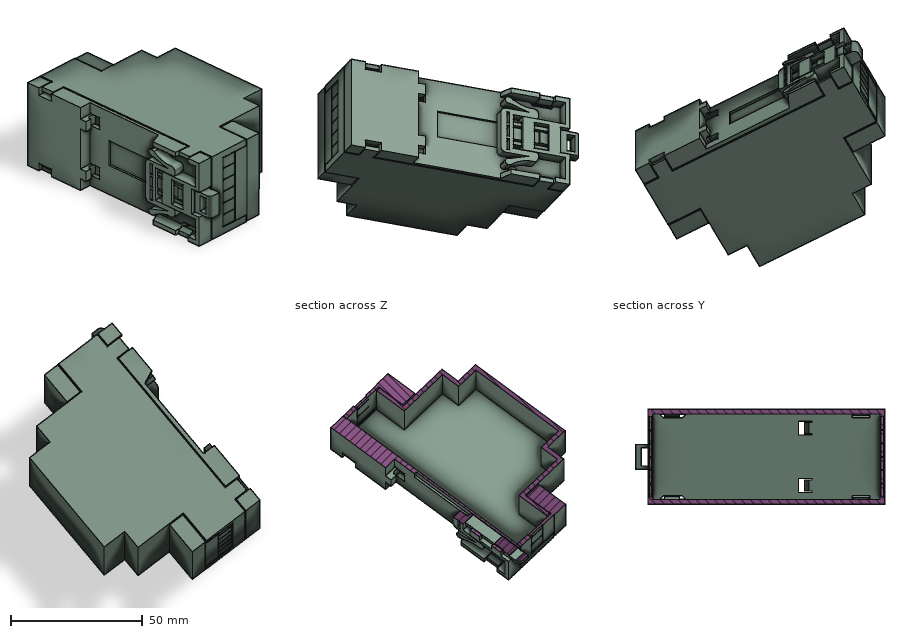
import cadquery as cq


overall_length = 95.0
housing_length = 90.2
housing_height = 58.0
housing_width = 36.3
side = housing_width / 2
mid_x = housing_length / 2
wall = 1.9

base_top = 6.8
seam_gap = 0.4
cover_bottom = base_top + seam_gap

shoulder_y = 26.0
step_y = 48.1
mid_block_x = 14.15
top_block_x = 22.3

notch_start = 5.9
notch_length = 6.6
notch_depth = 3.2
tab_clearance = 0.4
tab_tip_y = 1.4
tab_thickness = 1.7
left_barb_depth = 0.9
right_barb_depth = 1.3
barb_height = 1.9

window_bottom = 13.2
window_half_width = 15.2
guard_top = 33.0
guard_inset = 0.3
guard_wall_gap = 0.4
foot_height = 0.5
foot_inset = 0.7
plate_thickness = 1.5
finger_top = 20.1
plate_recess = 0.2
finger_recess = 0.5
finger_count = 6
slit_width = 0.2
tip_bevel_width = 0.52
tip_bevel_height = 1.5

rail_floor = 5.2
fixed_jaw_x = 27.8
side_wall = 2.0
ramp_foot_x = 63.7
ramp_tip_x = 66.0
floor_opening_x = 75.9
floor_opening_length = 9.8

hook_z = 10.9
hook_width = 4.4
hook_length = 2.85
hook_neck = 1.0
hook_height = 2.85
hook_round = 2.0 / 2
hook_opening_length = 5.0
hook_opening_width = 5.2

groove_x = 37.8
groove_half_width = 5.4
groove_floor = 6.2
bridge_x = 70.8
bridge_half_width = 7.0
bridge_thickness = 1.4
bridge_window_x = 75.6
bridge_window_length = 6.1
bridge_notch_x = 86.3

frame_x = 61.8
frame_half_width = 9.3
frame_front = 0.2
frame_back = 4.3
frame_end_round = 0.9
frame_corner = 4.2 / 2
frame_opening_x = 67.0
frame_opening_half_width = 7.1
frame_end_x = 77.3
frame_slot_x = 64.3
frame_slot_width = 1.1
frame_slot_length = 4.7
frame_slot_pitch = 5.6
stem_x = 65.8
stem_half_width = 4.75
stem_front = 1.5
stem_back = 6.1
stem_slit_inner = 2.4
stem_slit_width = 0.95
catch_x = 78.2
catch_flat = 0.5
catch_front = 0.9
grip_x = 86.6
grip_front = 1.1
grip_round = 4.2 / 2
grip_hole_x = 89.6
grip_hole_length = 3.2
grip_hole_width = 6.8

arm_back = 4.9
arm_overlap = 1.1
arm_tip_x = 65.0
arm_tip_z = 13.0
arm_tip_radius = 1.3
arm_inner_bend_x = 66.4
arm_inner_bend_z = 11.4
arm_neck_x = 66.3
arm_neck_z = 14.0
arm_outer_mid_x = 69.4
arm_outer_mid_z = 12.2
arm_root_x = 73.3
arm_shoulder_z = 11.1
arm_corner = 1.9
pin_x = 68.2
pin_z = 14.1
pin_diameter = 2.0
pin_length = 2.9
pin_front = 3.8


def block(x0, x1, y0, y1, z0, z1):
    return cq.Workplane("XY").box(x1 - x0, y1 - y0, z1 - z0, centered=False).translate((x0, y0, z0))


def centred_block(x0, x1, y0, y1, half_width):
    return block(x0, x1, y0, y1, -half_width, half_width)


def plan_sketch(y):
    """Workplane in X and Z at the given Y; extruding by a negative length goes towards +Y."""
    return cq.Workplane("XZ", origin=(0, y, 0))


def both_sides(body):
    """Body plus its mirror image across the mid-plane Z = 0."""
    return body.union(body.mirror("XY"))


def both_ends(body):
    """Body plus its mirror image across the middle of the housing length."""
    return body.union(mirror_end(body))


def mirror_end(body):
    return body.mirror("YZ", (mid_x, 0, 0))


def stepped_block(inset, bottom):
    """Three-step housing silhouette, shrunk by the inset on every side but the bottom."""
    profile = [
        (inset, bottom),
        (inset, shoulder_y - inset),
        (mid_block_x + inset, shoulder_y - inset),
        (mid_block_x + inset, step_y - inset),
        (top_block_x + inset, step_y - inset),
        (top_block_x + inset, housing_height - inset),
    ]
    mirrored = [(housing_length - x, y) for x, y in reversed(profile)]
    half_width = side - inset
    outline = cq.Workplane("XY", origin=(0, 0, -half_width)).polyline(profile + mirrored).close()
    return outline.extrude(2 * half_width)


def snap_tab(barb_depth):
    inner_z = side - tab_thickness
    profile = [
        (cover_bottom, side),
        (tab_tip_y, side),
        (tab_tip_y, inner_z),
        (tab_tip_y + barb_height, inner_z - barb_depth),
        (tab_tip_y + 2 * barb_height, inner_z),
        (cover_bottom, inner_z),
    ]
    start = notch_start + tab_clearance
    outline = cq.Workplane("YZ", origin=(start, 0, 0)).polyline(profile).close()
    return outline.extrude(notch_length - 2 * tab_clearance)


def make_cover():
    shell = stepped_block(0, cover_bottom).cut(stepped_block(wall, cover_bottom))
    windows = both_ends(centred_block(0, wall, window_bottom, shoulder_y, window_half_width))
    left_tabs = both_sides(snap_tab(left_barb_depth))
    right_tabs = mirror_end(both_sides(snap_tab(right_barb_depth)))
    return shell.cut(windows).union(left_tabs).union(right_tabs)


def finger_gap(z):
    """Narrow slit between two fingers, flared at the finger tips."""
    flare_top = window_bottom + tip_bevel_height
    half_slit = slit_width / 2
    half_flare = half_slit + tip_bevel_width
    profile = [
        (window_bottom, z - half_flare),
        (flare_top, z - half_slit),
        (finger_top, z - half_slit),
        (finger_top, z + half_slit),
        (flare_top, z + half_slit),
        (window_bottom, z + half_flare),
    ]
    return cq.Workplane("YZ").polyline(profile).close().extrude(plate_thickness)


def make_terminal_guard():
    strip_bottom = shoulder_y + foot_height
    strip_end = mid_block_x - guard_wall_gap
    strip = centred_block(0, strip_end, strip_bottom, guard_top, side - guard_inset)
    foot = centred_block(plate_recess, strip_end, shoulder_y, strip_bottom, side - foot_inset)
    plate = centred_block(plate_recess, plate_thickness, finger_top, shoulder_y, window_half_width)
    fingers = centred_block(finger_recess, plate_thickness, window_bottom, finger_top, window_half_width)
    pitch = 2 * window_half_width / finger_count
    for index in range(1, finger_count):
        fingers = fingers.cut(finger_gap(index * pitch - window_half_width))
    return strip.union(foot).union(plate).union(fingers)


def latch_frame():
    frame = plan_sketch(frame_front).rect(frame_end_x - frame_x, 2 * frame_half_width)
    frame = frame.extrude(frame_front - frame_back).translate(((frame_x + frame_end_x) / 2, 0, 0))
    frame = frame.edges("|Y and <X").fillet(frame_corner)
    opening = centred_block(
        frame_opening_x, frame_end_x, frame_front, frame_back, frame_opening_half_width
    )
    frame = frame.cut(opening).edges("|Y and >X").fillet(frame_end_round)
    for z in (-frame_slot_pitch, 0, frame_slot_pitch):
        slot = centred_block(
            frame_slot_x, frame_slot_x + frame_slot_width, frame_front, frame_back, frame_slot_length / 2
        )
        frame = frame.cut(slot.translate((0, 0, z)))
    return frame


def spring_arm():
    """Arm that leaves the frame side, bends back and ends in a round tip."""
    arm = (
        plan_sketch(frame_front)
        .moveTo(arm_root_x, frame_half_width)
        .lineTo(arm_inner_bend_x, arm_inner_bend_z)
        .lineTo(arm_tip_x, arm_tip_z - arm_tip_radius)
        .threePointArc((arm_tip_x - arm_tip_radius, arm_tip_z), (arm_tip_x, arm_tip_z + arm_tip_radius))
        .lineTo(arm_neck_x, arm_neck_z)
        .threePointArc((arm_outer_mid_x, arm_outer_mid_z), (arm_root_x, arm_shoulder_z))
        .lineTo(frame_end_x, arm_shoulder_z)
        .lineTo(frame_end_x, frame_half_width - arm_overlap)
        .lineTo(arm_root_x, frame_half_width - arm_overlap)
        .close()
        .extrude(frame_front - arm_back)
    )
    return arm.edges("|Y and >X").edges(">Z").fillet(arm_corner)


def latch_stem():
    stem = centred_block(stem_x, grip_x, stem_front, stem_back, stem_half_width)
    slit_end = bridge_window_x + bridge_window_length
    slit_outer = stem_slit_inner + stem_slit_width
    slit = block(frame_opening_x, slit_end, stem_front, stem_back, stem_slit_inner, slit_outer)
    return stem.cut(both_sides(slit))


def latch_catch():
    """Wedge on the springy middle strip of the stem, sloping down towards the grip."""
    ramp_end = bridge_window_x + bridge_window_length
    profile = [
        (catch_x, stem_front),
        (catch_x, catch_front),
        (catch_x + catch_flat, catch_front),
        (ramp_end, stem_front),
    ]
    outline = cq.Workplane("XY", origin=(0, 0, -stem_slit_inner)).polyline(profile).close()
    return outline.extrude(2 * stem_slit_inner)


def latch_grip():
    grip = centred_block(grip_x, overall_length, grip_front, stem_back, stem_half_width)
    grip = grip.edges("|Z and >X and <Y").fillet(grip_round)
    hole_end = grip_hole_x + grip_hole_length
    return grip.cut(centred_block(grip_hole_x, hole_end, grip_front, stem_back, grip_hole_width / 2))


def make_latch():
    body = latch_frame().union(both_sides(spring_arm()))
    return body.union(latch_stem()).union(latch_catch()).union(latch_grip())


def base_plate():
    plate = centred_block(0, housing_length, rail_floor, base_top, side)
    rim = centred_block(
        seam_gap, housing_length - seam_gap, base_top, cover_bottom, side - seam_gap
    )
    fixed_jaw = centred_block(0, fixed_jaw_x, 0, rail_floor, side)
    return plate.union(rim).union(fixed_jaw)


def side_rail():
    """Long side wall with a slanted start."""
    profile = [
        (ramp_foot_x, rail_floor),
        (ramp_tip_x, 0),
        (housing_length, 0),
        (housing_length, rail_floor),
    ]
    inner_z = side - side_wall
    outline = cq.Workplane("XY", origin=(0, 0, inner_z)).polyline(profile).close()
    return outline.extrude(side_wall)


def floor_opening():
    """Opening with bevelled corners in the pocket floor beside a right-hand snap notch."""
    outer_z = side - side_wall
    inner_z = side - notch_depth
    bevel = outer_z - inner_z
    opening_end = floor_opening_x + floor_opening_length
    profile = [
        (floor_opening_x, outer_z),
        (floor_opening_x + bevel, inner_z),
        (opening_end - bevel, inner_z),
        (opening_end, outer_z),
    ]
    return plan_sketch(rail_floor).polyline(profile).close().extrude(rail_floor - cover_bottom)


def bridge():
    end_wall = centred_block(housing_length - wall, housing_length, 0, rail_floor, side)
    return end_wall.union(centred_block(bridge_x, housing_length, 0, rail_floor, bridge_half_width))


def latch_space():
    """Groove, tunnel under the bridge, bridge window and the notch at the grip."""
    groove = centred_block(groove_x, bridge_x, rail_floor, groove_floor, groove_half_width)
    tunnel = centred_block(bridge_x, housing_length, bridge_thickness, groove_floor, groove_half_width)
    window_end = bridge_window_x + bridge_window_length
    window = centred_block(bridge_window_x, window_end, 0, bridge_thickness, groove_half_width)
    notch = centred_block(bridge_notch_x, housing_length, 0, bridge_thickness, groove_half_width)
    return groove.union(tunnel).union(window).union(notch)


def snap_notch():
    notch_end = notch_start + notch_length
    return block(notch_start, notch_end, 0, cover_bottom, side - notch_depth, side)


def rail_hook():
    return (
        cq.Workplane("XY", origin=(0, 0, hook_z - hook_width / 2))
        .moveTo(fixed_jaw_x, 0)
        .lineTo(fixed_jaw_x + hook_length, 0)
        .lineTo(fixed_jaw_x + hook_length, hook_height)
        .lineTo(fixed_jaw_x + hook_neck + hook_round, hook_height)
        .radiusArc((fixed_jaw_x + hook_neck, hook_height + hook_round), hook_round)
        .lineTo(fixed_jaw_x + hook_neck, cover_bottom)
        .lineTo(fixed_jaw_x, cover_bottom)
        .close()
        .extrude(hook_width)
    )


def hook_opening():
    opening_end = fixed_jaw_x + hook_opening_length
    half_width = hook_opening_width / 2
    return block(
        fixed_jaw_x, opening_end, rail_floor, cover_bottom, hook_z - half_width, hook_z + half_width
    )


def spring_pin():
    pin = plan_sketch(pin_front).slot2D(pin_length, pin_diameter).extrude(pin_front - rail_floor)
    return pin.translate((pin_x, 0, pin_z))


def make_base(latch):
    base = base_plate().union(both_sides(side_rail())).union(bridge())
    base = base.cut(latch_space())
    base = base.cut(both_ends(both_sides(snap_notch())))
    base = base.cut(both_sides(floor_opening()))
    base = base.cut(both_sides(hook_opening())).union(both_sides(rail_hook()))
    return base.union(both_sides(spring_pin()).cut(latch))


cover = make_cover()
latch = make_latch()
base = make_base(latch)
left_guard = make_terminal_guard()
terminal_guards = [left_guard.val(), mirror_end(left_guard).val()]

result = cq.Compound.makeCompound([base.val(), cover.val(), latch.val(), *terminal_guards])